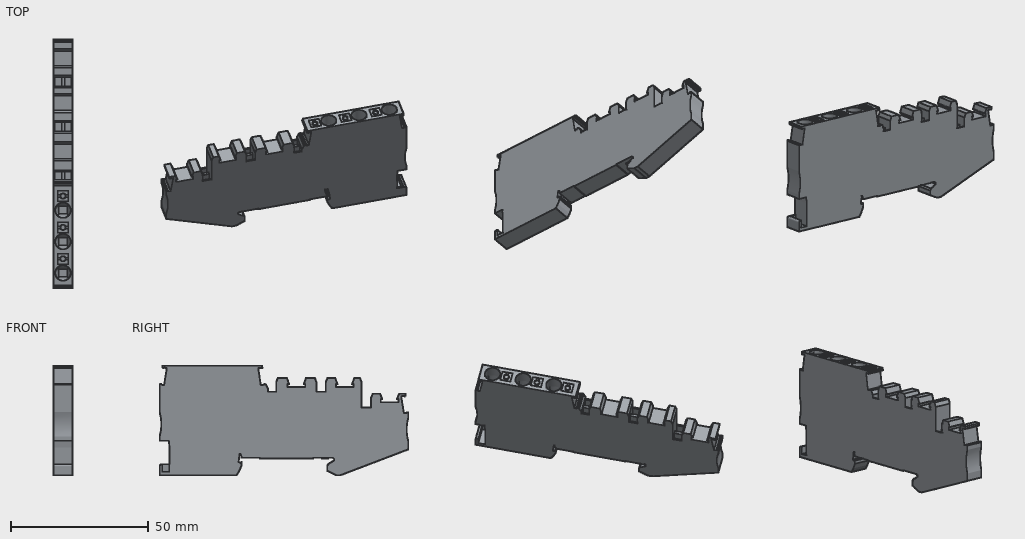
import cadquery as cq

THICKNESS = 7.0
LENGTH = 90.8
HEIGHT = 40.0

UPPER_RIM = 35.5
LEVEL_DROP = 10.3
LOW_RIM = 29.8
UPPER_SHAFT_FLOOR = 30.5
LOW_SHAFT_FLOOR = 24.8

GROOVE_CENTRES = [49.9, 67.6, 83.9]
GROOVE_HALF_RIM = 3.45
GROOVE_HALF_BARBS = 2.6
GROOVE_HALF_FLOOR = 3.2
BARB_DROP = 2.3
LOW_BARB_DROP = 2.0
GROOVE_DEPTH = 3.3
LOW_GROOVE_DEPTH = 3.1

SHAFT_WALLS = [(39.6, 42.5), (57.3, 60.6), (73.7, 77.1)]
RIDGE_CHAMFER_RUN = 0.6
RIDGE_CHAMFER_DROP = 1.5
BRIDGE_POCKET_DEPTH = 7.3
BRIDGE_POCKETS = [(0.5, 3.1), (4.2, 6.45)]

HOLLOW_HALF_HEIGHT = 4.45
HOLLOW_DEPTH = 0.6
FRONT_HOLLOW_CENTRE = 18.6
BACK_HOLLOW_CENTRE = 16.7

SEAT = 6.4
SEAT_PAD = 6.1
SEAT_RIB_Y = (59.2, 61.6)
SEAT_RIB_WIDTH = 3.45
BACK_CORNER = 9.4

STATION_COUNT = 3
STATION_PITCH = 11.4
FIRST_FUNNEL = 5.6
FUNNEL_DIAMETER = 5.6
FUNNEL_BOTTOM_X = 3.0
FUNNEL_BOTTOM_Y = 2.7
MOUTH_DEPTH = 4.5
TAPER_DEPTH = 4.5
CORNER_ANGLE = -135
BUTTON_OFFSET = 5.2
BUTTON_SIDE = 3.8
BUTTON_RECESS = 0.1
BUTTON_SLOT_WIDTH = 0.8
BUTTON_SLOT_DEPTH = 0.2
BUTTON_HOLE_DIAMETER = 1.9
BUTTON_HOLE_DEPTH = 0.45

RELIEF_DEPTH = 1.8
RELIEF_OUTLINE = [(30.9, 9.8), (29.8, 9.8), (29.2, 7.8), (29.5, 7.8), (29.8, 7.1), (30.3, 7.4)]

END_LATCH = [
    (0, 33.05), (0.3, 33.3), (0.6, 33.3), (0.8, 33.05), (1.6, 33.0),
    (2.6, 39.0), (1.9, 39.2), (1.45, 38.95), (1.1, 39.3), (1.1, HEIGHT),
]
INNER_LATCH = [
    (37.4, HEIGHT), (37.4, 39.5), (37.7, 39.2), (37.2, 38.95), (37.0, 39.1), (36.05, 39.0),
    (37.0, 33.0), (37.7, 33.0), (38.3, 33.3), (38.9, 33.05), (SHAFT_WALLS[0][0], 31.6),
]
RAIL_HOOK = [
    (66.0, 0), (64.5, 0), (61.1, 1.6), (61.1, 3.45), (61.6, 4.2), (62.65, 4.8), (63.65, 5.45),
    (63.65, 5.9), (63.2, SEAT),
]
RAIL_PAD = [(56.0, SEAT), (56.0, SEAT_PAD), (36.5, SEAT_PAD), (36.5, SEAT)]
RAIL_FOOT = [
    (29.9, SEAT), (29.8, 7.1), (29.5, 7.8), (29.2, 7.8), (28.9, 4.9), (29.6, 4.5), (30.0, 4.9),
    (30.0, 3.5), (29.15, 1.6), (28.15, 0),
]
LIP_HEIGHT = 4.1
LIP_ROUND = 0.8
LIP_THICKNESS = 1.1
NOTCH_BACK = 3.6
END_NOTCH = [(NOTCH_BACK, LIP_HEIGHT), (NOTCH_BACK, 10.1), (3.4, 12.5), (0, 12.5)]
CATCH_DEPTH = 2.7
CATCH_SKIN = 0.6


def groove(centre, rim, barb_drop, depth):
    """Marker groove outline, from its near rim to its far rim."""
    near_side = [
        (-GROOVE_HALF_RIM, rim),
        (-GROOVE_HALF_BARBS, rim - barb_drop),
        (-GROOVE_HALF_FLOOR, rim - barb_drop),
        (-GROOVE_HALF_FLOOR, rim - depth),
    ]
    far_side = [(-offset, z) for offset, z in reversed(near_side)]
    return [(centre + offset, z) for offset, z in near_side + far_side]


def ridge_before_shaft(wall, rim):
    """Chamfered ridge corner that leads down into a shaft."""
    return [(wall - RIDGE_CHAMFER_RUN, rim), (wall, rim - RIDGE_CHAMFER_DROP)]


def ridge_after_shaft(wall, rim):
    """Chamfered ridge corner that leads up out of a shaft."""
    return [(wall, rim - RIDGE_CHAMFER_DROP), (wall + RIDGE_CHAMFER_RUN, rim)]


def shaft_floor(walls, floor):
    return [(wall, floor) for wall in walls]


def stepped_top():
    """Top outline from the wire-entry block to the low end."""
    first, second, third = SHAFT_WALLS
    upper_a, upper_b, low = GROOVE_CENTRES
    return (
        INNER_LATCH
        + shaft_floor(first, UPPER_SHAFT_FLOOR)
        + ridge_after_shaft(first[1], UPPER_RIM)
        + groove(upper_a, UPPER_RIM, BARB_DROP, GROOVE_DEPTH)
        + ridge_before_shaft(second[0], UPPER_RIM)
        + shaft_floor(second, UPPER_SHAFT_FLOOR)
        + ridge_after_shaft(second[1], UPPER_RIM)
        + groove(upper_b, UPPER_RIM, BARB_DROP, GROOVE_DEPTH)
        + ridge_before_shaft(third[0], UPPER_RIM)
        + shaft_floor(third, LOW_SHAFT_FLOOR)
        + ridge_after_shaft(third[1], LOW_RIM)
        + groove(low, LOW_RIM, LOW_BARB_DROP, LOW_GROOVE_DEPTH)
    )


def housing():
    """Side outline extruded through the full thickness."""
    back_latch = [(LENGTH - y, z - LEVEL_DROP) for y, z in reversed(END_LATCH)]
    front_low = FRONT_HOLLOW_CENTRE - HOLLOW_HALF_HEIGHT
    front_high = FRONT_HOLLOW_CENTRE + HOLLOW_HALF_HEIGHT
    back_low = BACK_HOLLOW_CENTRE - HOLLOW_HALF_HEIGHT
    back_high = BACK_HOLLOW_CENTRE + HOLLOW_HALF_HEIGHT
    outline = (
        cq.Workplane("YZ")
        .lineTo(0, LIP_HEIGHT - LIP_ROUND)
        .radiusArc((LIP_ROUND, LIP_HEIGHT), LIP_ROUND)
        .polyline(END_NOTCH + [(0, front_low)], includeCurrent=True)
        .threePointArc((HOLLOW_DEPTH, FRONT_HOLLOW_CENTRE), (0, front_high))
        .polyline(END_LATCH + stepped_top() + back_latch + [(LENGTH, back_high)], includeCurrent=True)
        .threePointArc((LENGTH - HOLLOW_DEPTH, BACK_HOLLOW_CENTRE), (LENGTH, back_low))
        .polyline([(LENGTH, BACK_CORNER)] + RAIL_HOOK + RAIL_PAD + RAIL_FOOT, includeCurrent=True)
        .close()
    )
    return outline.extrude(THICKNESS)


def catch_channel():
    """Channel behind the lip, open upwards and to the +X face."""
    channel = cq.Workplane("XY").box(
        THICKNESS - CATCH_SKIN, NOTCH_BACK - LIP_THICKNESS, CATCH_DEPTH, centered=False
    )
    return channel.translate((CATCH_SKIN, LIP_THICKNESS, LIP_HEIGHT - CATCH_DEPTH))


def seat_rib():
    """Small rib on the roof of the rail seat, beside the hook."""
    near, far = SEAT_RIB_Y
    rib = cq.Workplane("XY").box(SEAT_RIB_WIDTH, far - near, SEAT - SEAT_PAD, centered=False)
    return rib.translate(((THICKNESS - SEAT_RIB_WIDTH) / 2, near, SEAT_PAD))


def relief_slot():
    return cq.Workplane("YZ").polyline(RELIEF_OUTLINE).close().extrude(RELIEF_DEPTH)


def bridge_pockets():
    """Pairs of pockets that deepen every shaft."""
    floors = [UPPER_SHAFT_FLOOR, UPPER_SHAFT_FLOOR, LOW_SHAFT_FLOOR]
    pockets = []
    for (near, far), floor in zip(SHAFT_WALLS, floors):
        for left, right in BRIDGE_POCKETS:
            pocket = cq.Workplane("XY").box(
                right - left, far - near, BRIDGE_POCKET_DEPTH, centered=False
            )
            pockets.append(pocket.translate((left, near, floor - BRIDGE_POCKET_DEPTH)))
    return pockets


def wire_funnel(y):
    """Wire entry with a straight round mouth that tapers to a rectangular bottom."""
    mouth_bottom = cq.Workplane("XY", origin=(THICKNESS / 2, y, HEIGHT - MOUTH_DEPTH))
    mouth = mouth_bottom.circle(FUNNEL_DIAMETER / 2).extrude(MOUTH_DEPTH)
    taper = (
        mouth_bottom
        .transformed(rotate=(0, 0, CORNER_ANGLE))
        .circle(FUNNEL_DIAMETER / 2)
        .transformed(rotate=(0, 0, -CORNER_ANGLE), offset=(0, 0, -TAPER_DEPTH))
        .rect(FUNNEL_BOTTOM_X, FUNNEL_BOTTOM_Y)
        .loft(combine=True)
    )
    return mouth.union(taper)


def release_button(y):
    """Square recess with a cross slot and a round centre hole."""
    top = cq.Workplane("XY", origin=(THICKNESS / 2, y, HEIGHT))
    recess = top.rect(BUTTON_SIDE, BUTTON_SIDE).extrude(-BUTTON_RECESS)
    slot = top.rect(BUTTON_SIDE, BUTTON_SLOT_WIDTH).extrude(-BUTTON_SLOT_DEPTH)
    hole = top.circle(BUTTON_HOLE_DIAMETER / 2).extrude(-BUTTON_HOLE_DEPTH)
    return recess.union(slot).union(hole)


result = housing().union(seat_rib()).cut(relief_slot()).cut(catch_channel())
for pocket in bridge_pockets():
    result = result.cut(pocket)
for station in range(STATION_COUNT):
    funnel_y = FIRST_FUNNEL + station * STATION_PITCH
    result = result.cut(wire_funnel(funnel_y))
    result = result.cut(release_button(funnel_y + BUTTON_OFFSET))